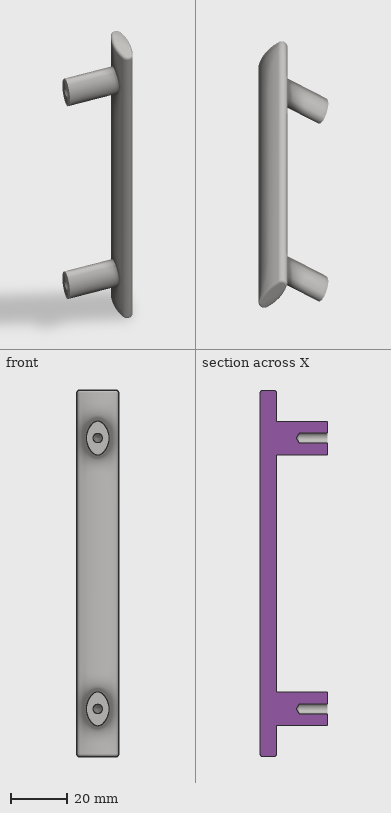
import cadquery as cq
import math

BAR_LENGTH = 130.0
BAR_WIDTH = 15.0
BAR_THICKNESS = 6.0
BAR_EDGE_RADIUS = 2.0
BAR_END_FILLET = 1.0

POST_SPACING = 96.0
POST_WIDTH = 8.0
POST_HEIGHT = 12.0
POST_TIP_RADIUS = 2.5
HANDLE_DEPTH = 24.0

HOLE_DIAMETER = 3.3
HOLE_DEPTH = 10.0
DRILL_POINT_ANGLE = 118.0

MOUNT_Y = BAR_THICKNESS / 2 - HANDLE_DEPTH


def oval(plane, length, width, tip_radius):
    """Four-arc tangent oval with its long axis along the plane's local x."""
    half_length = length / 2
    half_width = width / 2
    tip_center = half_length - tip_radius
    side_radius = (tip_center**2 + half_width**2 - tip_radius**2) / (2 * (half_width - tip_radius))
    center_distance = side_radius - tip_radius
    joint_x = tip_center + tip_radius * tip_center / center_distance
    joint_y = tip_radius * (side_radius - half_width) / center_distance
    return (
        cq.Workplane(plane)
        .moveTo(joint_x, -joint_y)
        .threePointArc((half_length, 0), (joint_x, joint_y))
        .threePointArc((0, half_width), (-joint_x, joint_y))
        .threePointArc((-half_length, 0), (-joint_x, -joint_y))
        .threePointArc((0, -half_width), (joint_x, -joint_y))
        .close()
    )


def make_bar():
    """Oval bar along Z with rounded end edges."""
    base = cq.Plane(origin=(0, 0, -BAR_LENGTH / 2), xDir=(1, 0, 0), normal=(0, 0, 1))
    bar = oval(base, BAR_WIDTH, BAR_THICKNESS, BAR_EDGE_RADIUS).extrude(BAR_LENGTH)
    return bar.faces("<Z or >Z").edges().fillet(BAR_END_FILLET)


def make_post(z):
    """Upright oval post from the middle of the bar to the mounting face."""
    face = cq.Plane(origin=(0, MOUNT_Y, z), xDir=(0, 0, 1), normal=(0, 1, 0))
    return oval(face, POST_HEIGHT, POST_WIDTH, POST_TIP_RADIUS).extrude(-MOUNT_Y)


def make_screw_hole(z):
    """Blind drilled hole with a conical bottom, as a solid to cut away."""
    radius = HOLE_DIAMETER / 2
    point_depth = radius / math.tan(math.radians(DRILL_POINT_ANGLE / 2))
    bottom_y = MOUNT_Y + HOLE_DEPTH
    half_section = (
        cq.Workplane("XY", origin=(0, 0, z))
        .moveTo(0, MOUNT_Y)
        .lineTo(radius, MOUNT_Y)
        .lineTo(radius, bottom_y)
        .lineTo(0, bottom_y + point_depth)
        .close()
    )
    return half_section.revolve(360, (0, 0, 0), (0, 1, 0))


result = make_bar()
for post_z in (-POST_SPACING / 2, POST_SPACING / 2):
    result = result.union(make_post(post_z)).cut(make_screw_hole(post_z))